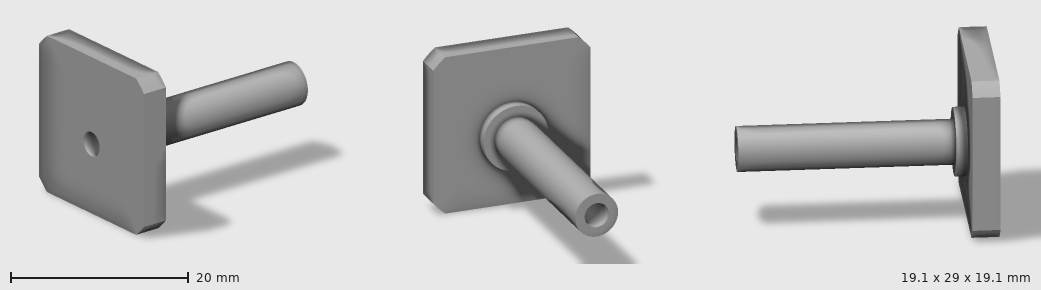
import cadquery as cq

plate_side = 19.05
plate_thickness = 3.15
corner_circle_diameter = 25.0

total_length = 29.03
collar_diameter = 7.87
collar_length = 1.3
shaft_diameter = 5.2
bore_diameter = 2.93
axis_drop = 1.07


def cylinder_from_front(diameter, length, z):
    """Cylinder centred at height z, running from the front face toward +Y."""
    return cq.Workplane("XZ").center(0, z).circle(diameter / 2).extrude(-length)


square = cq.Workplane("XZ").rect(plate_side, plate_side).extrude(-plate_thickness)
corner_limit = cylinder_from_front(corner_circle_diameter, plate_thickness, 0)
plate = square.intersect(corner_limit)

collar = cylinder_from_front(collar_diameter, plate_thickness + collar_length, -axis_drop)
shaft = cylinder_from_front(shaft_diameter, total_length, -axis_drop)
bore = cylinder_from_front(bore_diameter, total_length, -axis_drop)

result = plate.union(collar).union(shaft).cut(bore)